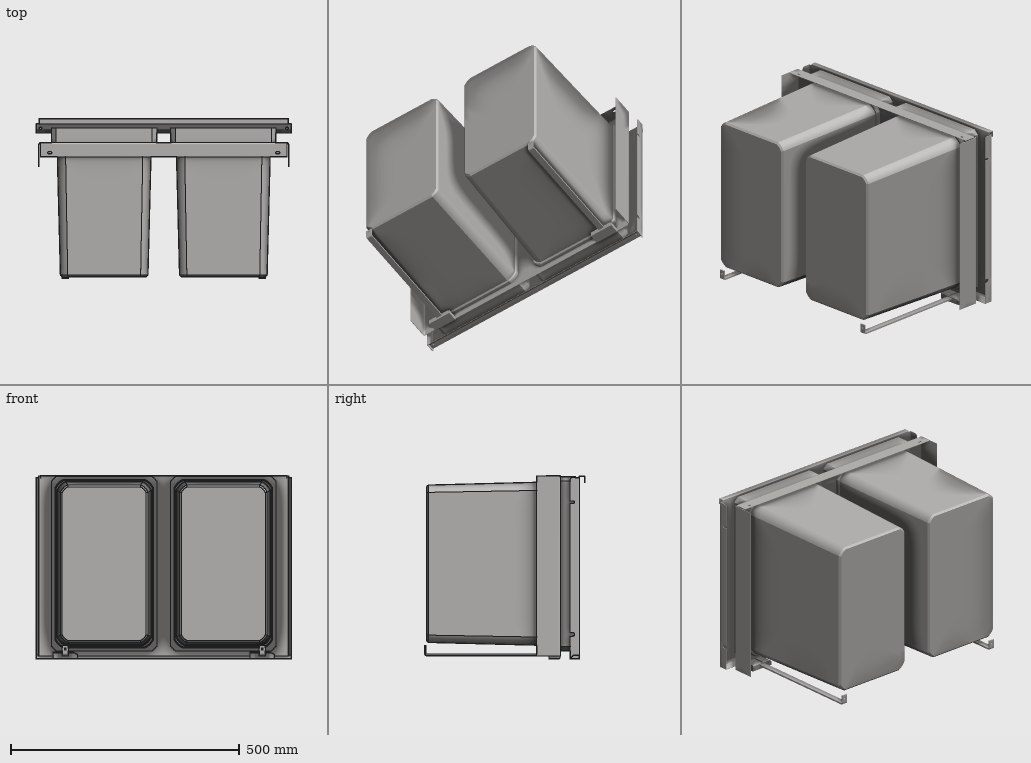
import cadquery as cq
import math


panel_width = 560.0
sheet = 1.0

panel_bend = 2.0
panel_face_y = 338.0
panel_flange_front_y = 318.5
panel_flange_top = 397.0
panel_flange_round = 4.5
lip_width = 545.5
lip_back_y = 350.5
lip_top = 400.5
lip_drop = 14.0
lip_bend = 1.5
kick_top = 9.0
kick_fold_y = 326.5
kick_bend = 3.0
drain_hole_dia = 5.0
drain_hole_x = 270.0
drain_hole_y = 329.0
notches = [(343.0, 5.0), (54.0, 9.0)]
notch_depth = 9.5

frame_width = 547.5
frame_back_y = 298.0
frame_side_front_y = 245.0
frame_bottom = 6.0
frame_top = 402.0
frame_bend = 4.5
bar_width = 541.0
bar_front_y = 266.5
bar_slot_x = 250.0
bar_slot_y = 275.5
bar_slot_length = 8.5
bar_slot_width = 4.0

bin_spacing = 261.0
bin_center_z = 208.5
rim_width = 231.0
rim_height = 382.0
rim_chamfer = 10.0
rim_back_y = 330.0
collar_width = 216.0
collar_height = 368.5
collar_front_y = 288.0
collar_chamfer = 2.0
body_width = 206.5
body_height = 359.5
body_end_y = 4.0
body_end_inset = 7.0
body_corner = 18.5
body_end_corner = 16.0
corner_bulge = 2.0
body_end_chamfer = 4.0

stay_spacing = 431.0
stay_width = 13.5
stay_bottom = 7.0
stay_thickness = 4.0
stay_tab_top = 29.0
stay_tab_thickness = 3.0
stay_bend = 5.0
stay_hole_dia = 4.0
stay_hole_z = 21.0
bracket_width = 54.0
bracket_height = 14.5
bracket_front_y = 272.0
bracket_slope_length = 10.0
bracket_slope_drop = 5.0
bracket_top_chamfer = 2.0
bracket_foot_chamfer = 2.0
bracket_groove_width = 5.0
bracket_groove_depth = 3.0

frame_front_y = frame_back_y - sheet
bar_bottom = frame_top - sheet
stay_top = stay_bottom + stay_thickness


def block(width, y0, y1, z0, z1):
    """Box centred on X = 0 between the given Y and Z limits."""
    return cq.Workplane("XY").box(width, y1 - y0, z1 - z0, centered=(True, False, False)).translate((0, y0, z0))


def sheet_channel(width, y_front, y_back, z0, z1, bend):
    """Upright sheet with a side flange folded forward at each end; bend is the outer radius."""
    outer = block(width, y_front, y_back, z0, z1).edges("|Z and >Y").fillet(bend)
    inner = block(width - 2 * sheet, y_front, y_back - sheet, z0, z1).edges("|Z and >Y").fillet(bend - sheet)
    return outer.cut(inner)


def crowned_outline(plane, width, height, corner):
    """Closed outline with four straight sides joined by shallow corner arcs."""
    crown = corner / 2 - corner_bulge / math.sqrt(2)
    outline = plane.moveTo(width / 2, -height / 2 + corner)
    for sx, sy in ((1, 1), (-1, 1), (-1, -1), (1, -1)):
        on_side = (sx * width / 2, sy * (height / 2 - corner))
        on_end = (sx * (width / 2 - corner), sy * height / 2)
        middle = (sx * (width / 2 - crown), sy * (height / 2 - crown))
        if sx == sy:
            outline = outline.lineTo(*on_side).threePointArc(middle, on_end)
        else:
            outline = outline.lineTo(*on_end).threePointArc(middle, on_side)
    return outline.close()


def make_collar(depth):
    """Collar block on the bin axis, running forward from the back of the frame sheet."""
    plane = cq.Workplane("XZ", origin=(0, frame_back_y, bin_center_z))
    return crowned_outline(plane, collar_width, collar_height, body_corner).extrude(depth)


def make_panel():
    panel_back_y = panel_face_y + sheet
    kick_bottom = kick_top - sheet
    panel = sheet_channel(panel_width, panel_flange_front_y, panel_back_y, 0, panel_flange_top, panel_bend)
    panel = panel.edges("|X and <Y and >Z").fillet(panel_flange_round)
    below_kick = block(panel_width - 2 * panel_bend, panel_face_y, panel_back_y, 0, kick_bottom)
    panel = panel.cut(below_kick)

    for notch_z, notch_width in notches:
        notch = (
            cq.Workplane("YZ", origin=(0, panel_flange_front_y, notch_z))
            .slot2D(2 * notch_depth, notch_width)
            .extrude(panel_width / 2, both=True)
        )
        panel = panel.cut(notch)

    lip_bottom = lip_top - lip_drop
    lip = block(lip_width, panel_face_y, lip_back_y, lip_bottom, lip_top)
    lip = lip.edges("|X and >Z").fillet(lip_bend)
    hollow = block(lip_width, panel_back_y, lip_back_y - sheet, lip_bottom, lip_top - sheet)
    hollow = hollow.edges("|X and >Z").fillet(lip_bend - sheet)
    panel = panel.cut(block(lip_width, panel_face_y, panel_back_y, lip_bottom, lip_top))
    panel = panel.union(lip.cut(hollow))

    kick = (
        cq.Workplane("YZ")
        .polyline(
            [
                (panel_back_y, kick_bottom),
                (panel_back_y, kick_top),
                (kick_fold_y, kick_top),
                (panel_flange_front_y, sheet),
                (panel_flange_front_y, 0),
                (kick_fold_y, kick_bottom),
            ]
        )
        .close()
        .extrude(panel_width / 2 - sheet, both=True)
    )
    fold_top = cq.selectors.NearestToPointSelector((0, kick_fold_y, kick_top))
    fold_under = cq.selectors.NearestToPointSelector((0, kick_fold_y, kick_bottom))
    kick = kick.edges(fold_top).fillet(kick_bend).edges(fold_under).fillet(kick_bend - sheet)
    panel = panel.union(kick)

    holes = (
        cq.Workplane("XY")
        .pushPoints([(-drain_hole_x, drain_hole_y), (drain_hole_x, drain_hole_y)])
        .circle(drain_hole_dia / 2)
        .extrude(kick_top)
    )
    return panel.cut(holes)


def make_frame():
    frame = sheet_channel(
        frame_width, frame_side_front_y, frame_back_y, frame_bottom, bar_bottom, frame_bend
    )

    bar = block(bar_width, bar_front_y, frame_back_y, bar_bottom - frame_bend, frame_top)
    bar = bar.edges("|X and >Y and >Z").fillet(frame_bend)
    under_bar = block(bar_width, bar_front_y, frame_front_y, bar_bottom - frame_bend, bar_bottom)
    under_bar = under_bar.edges("|X and >Y and >Z").fillet(frame_bend - sheet)
    fold_zone = block(bar_width, frame_front_y, frame_back_y, bar_bottom - frame_bend, bar_bottom)
    frame = frame.cut(fold_zone).union(bar.cut(under_bar))

    slots = (
        cq.Workplane("XY", origin=(0, 0, bar_bottom))
        .pushPoints([(-bar_slot_x, bar_slot_y), (bar_slot_x, bar_slot_y)])
        .slot2D(bar_slot_length, bar_slot_width)
        .extrude(sheet)
    )
    frame = frame.cut(slots)

    opening = make_collar(sheet)
    for side in (-1, 1):
        frame = frame.cut(opening.translate((side * bin_spacing / 2, 0, 0)))
    return frame


def make_bin(x):
    rim = block(
        rim_width, frame_back_y, rim_back_y, bin_center_z - rim_height / 2, bin_center_z + rim_height / 2
    )
    rim = rim.edges("|Y").chamfer(rim_chamfer)
    collar = make_collar(frame_back_y - collar_front_y).faces("<Y").chamfer(collar_chamfer)

    start = cq.Workplane("XZ", origin=(0, collar_front_y, bin_center_z))
    profile = crowned_outline(start, body_width, body_height, body_corner)
    end = profile.workplane(offset=collar_front_y - body_end_y)
    end_width = body_width - 2 * body_end_inset
    end_height = body_height - 2 * body_end_inset
    body = crowned_outline(end, end_width, end_height, body_end_corner).loft(ruled=True)
    body = body.faces("<Y").chamfer(body_end_chamfer)
    return rim.union(collar).union(body).translate((x, 0, 0))


def make_stay(x):
    strip = block(stay_width, 0, frame_front_y, stay_bottom, stay_top)
    tab = block(stay_width, 0, stay_tab_thickness, stay_bottom, stay_tab_top)
    stay = strip.union(tab).edges("|X and <Y and <Z").fillet(stay_bend)
    hole = (
        cq.Workplane("XZ", origin=(0, 0, stay_hole_z))
        .circle(stay_hole_dia / 2)
        .extrude(-stay_tab_thickness)
    )
    return stay.cut(hole).translate((x, 0, 0))


def make_bracket(x):
    half_width = bracket_width / 2
    bracket = (
        cq.Workplane("XZ", origin=(0, frame_front_y, 0))
        .polyline(
            [
                (-half_width, 0),
                (half_width, 0),
                (half_width, bracket_height - bracket_slope_drop),
                (half_width - bracket_slope_length, bracket_height),
                (-half_width, bracket_height),
            ]
        )
        .close()
        .extrude(frame_front_y - bracket_front_y)
    )
    bracket = bracket.edges("|X and <Y and >Z").chamfer(bracket_top_chamfer)
    bracket = bracket.edges("|X and >Y and <Z").chamfer(bracket_foot_chamfer)
    passage = block(stay_width, bracket_front_y, frame_front_y, stay_bottom, stay_top)
    groove_floor = bracket_height - bracket_groove_depth
    groove = block(bracket_groove_width, bracket_front_y, frame_front_y, groove_floor, bracket_height)
    return bracket.cut(passage).cut(groove).translate((x, 0, 0))


panel = make_panel()
frame = make_frame()
bins = [make_bin(side * bin_spacing / 2) for side in (-1, 1)]
stays = [make_stay(side * stay_spacing / 2) for side in (-1, 1)]
brackets = [make_bracket(side * stay_spacing / 2) for side in (-1, 1)]

result = cq.Compound.makeCompound([part.val() for part in [panel, frame, *bins, *stays, *brackets]])